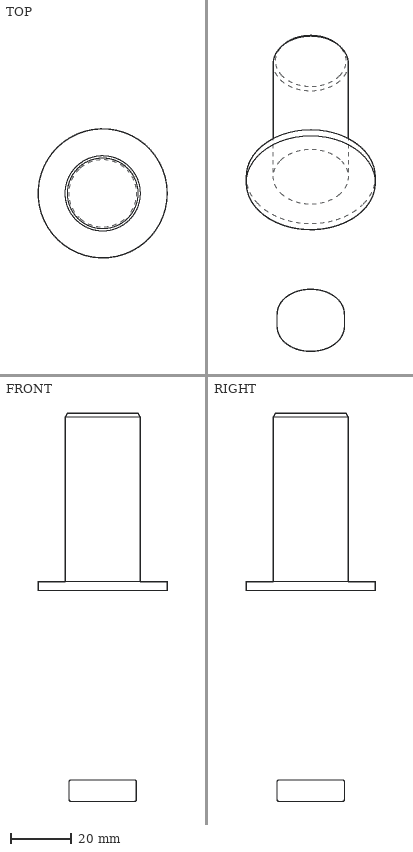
import cadquery as cq

overall_height = 129.0

flange_diameter = 43.0
flange_thickness = 3.0
shaft_diameter = 25.0
pin_length = 59.0
shaft_chamfer_width = 0.8
shaft_chamfer_height = 1.3

disc_diameter = 22.5
disc_thickness = 7.2
disc_rim_radius = 0.6


def make_pin():
    """Round shaft with a thin flange at the bottom and a steeply chamfered top end."""
    flange_radius = flange_diameter / 2
    shaft_radius = shaft_diameter / 2
    pin_base = overall_height - pin_length
    flange_top = pin_base + flange_thickness
    half_profile = [
        (0, pin_base),
        (flange_radius, pin_base),
        (flange_radius, flange_top),
        (shaft_radius, flange_top),
        (shaft_radius, overall_height - shaft_chamfer_height),
        (shaft_radius - shaft_chamfer_width, overall_height),
        (0, overall_height),
    ]
    return cq.Workplane("XZ").polyline(half_profile).close().revolve(360, (0, 0), (0, 1))


def make_disc():
    """Short round disc with both rims rounded."""
    blank = cq.Workplane("XY").circle(disc_diameter / 2).extrude(disc_thickness)
    return blank.faces("<Z or >Z").edges().fillet(disc_rim_radius)


pin = make_pin()
disc = make_disc()

result = cq.Compound.makeCompound([pin.val(), disc.val()])